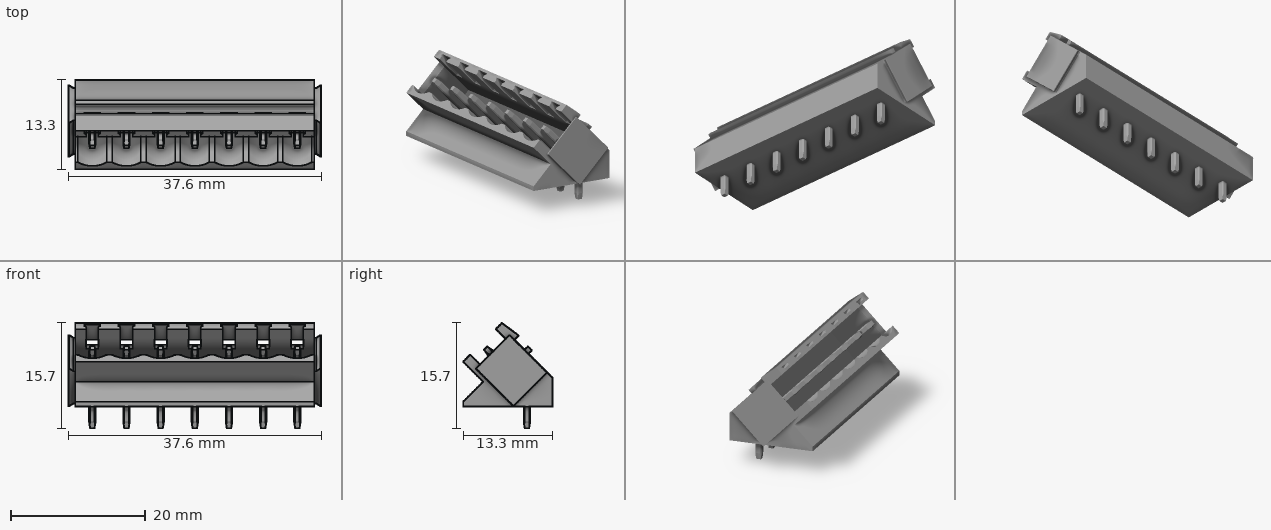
import cadquery as cq
import math

ROOT2 = math.sqrt(2)

pin_count = 7
pitch = 5.08
row_length = pin_count * pitch
pin_places = [(i - (pin_count - 1) / 2) * pitch for i in range(pin_count)]

base_depth = 13.3
front_edge_height = 0.72

shroud_top = 4.72
front_outside = 4.72
front_inside = 6.21
back_inside = 11.58
back_outside = 12.45
cavity_floor = -3.9

hook_top_across = 12.88
hook_tip_across = 13.29
hook_underside = 1.6
hook_tip_height = 0.3

rib_bottom = -1.33
rib_top = -0.48
rib_across = 13.15
rib_root_radius = 0.2

scallop_radius = 3.35
scallop_bottom = 5.44
scallop_center = scallop_bottom + scallop_radius

slot_floor = 0.57
slot_width = 1.82
slot_wide_width = 2.42
slot_neck_across = 12.02
slot_wide_across = 12.34

plate_thickness = 1.0
plate_bottom = -5.24
plate_top = 2.65
plate_front = 5.34
plate_back = 12.4
plate_undercut = 0.53
plate_rim = 0.12
plate_neck = 0.28

pin_width = 1.0
pin_chamfer = 0.18
tip_width = 0.68
tip_length = 0.97
pin_y = 9.49
pin_below_base = 3.22
contact_across = 8.52
contact_top = 3.8


def tilted(rise, across):
    """Y and Z of a point given along the tilted axes."""
    return ((across - rise) / ROOT2, (across + rise) / ROOT2)


def mating_plane(rise):
    """Plane square to the rise axis: local x is X, local y is across."""
    y, z = tilted(rise, 0)
    return cq.Workplane(cq.Plane(origin=(0, y, z), xDir=(1, 0, 0), normal=(0, -1, 1)))


def shroud_and_base():
    back_edge_height = back_outside * ROOT2 - base_depth
    step_rise = front_edge_height / ROOT2
    outline = [
        (0, 0),
        (base_depth, 0),
        (base_depth, back_edge_height),
        tilted(hook_underside, back_outside),
        tilted(hook_underside, hook_tip_across),
        tilted(hook_underside + hook_tip_height, hook_tip_across),
        tilted(shroud_top, hook_top_across),
        tilted(shroud_top, back_inside),
        tilted(cavity_floor, back_inside),
        tilted(cavity_floor, front_inside),
        tilted(shroud_top, front_inside),
        tilted(shroud_top, front_outside),
        tilted(step_rise, front_outside),
        (0, front_edge_height),
    ]
    return cq.Workplane("YZ").polyline(outline).close().extrude(row_length / 2, both=True)


def back_rib():
    arc_drop = rib_root_radius * (1 - 1 / ROOT2)
    return (
        cq.Workplane("YZ")
        .moveTo(*tilted(rib_bottom, back_outside))
        .lineTo(*tilted(rib_bottom, rib_across))
        .lineTo(*tilted(rib_top, rib_across))
        .lineTo(*tilted(rib_top, back_outside + rib_root_radius))
        .threePointArc(
            tilted(rib_top + arc_drop, back_outside + arc_drop),
            tilted(rib_top + rib_root_radius, back_outside),
        )
        .close()
        .extrude(row_length / 2, both=True)
    )


def scallop(x):
    return (
        mating_plane(cavity_floor)
        .center(x, scallop_center)
        .circle(scallop_radius)
        .extrude(shroud_top - cavity_floor)
        .intersect(
            mating_plane(cavity_floor)
            .center(x, (front_outside + front_inside) / 2)
            .rect(pitch, front_inside - front_outside)
            .extrude(shroud_top - cavity_floor)
        )
    )


def coding_slot(x):
    narrow = slot_width / 2
    wide = slot_wide_width / 2
    outline = [
        (x - narrow, back_inside),
        (x - narrow, slot_neck_across),
        (x - wide, slot_wide_across),
        (x - wide, back_outside),
        (x + wide, back_outside),
        (x + wide, slot_wide_across),
        (x + narrow, slot_neck_across),
        (x + narrow, back_inside),
    ]
    return mating_plane(slot_floor).polyline(outline).close().extrude(shroud_top - slot_floor)


def end_plate(side):
    """Dovetail rail on the end at side -1 or +1, running in the across direction."""
    inner = side * row_length / 2
    neck = inner + side * plate_neck
    outer = inner + side * plate_thickness
    rim = outer - side * plate_rim
    outline = [
        (inner, plate_bottom + plate_undercut),
        (neck, plate_bottom + plate_undercut),
        (rim, plate_bottom),
        (outer, plate_bottom),
        (outer, plate_top),
        (rim, plate_top),
        (neck, plate_top - plate_undercut),
        (inner, plate_top - plate_undercut),
    ]
    y, z = tilted(0, plate_back)
    back_plane = cq.Plane(origin=(0, y, z), xDir=(1, 0, 0), normal=(0, -1, -1))
    return cq.Workplane(back_plane).polyline(outline).close().extrude(plate_back - plate_front)


def pin_leg(length):
    """Chamfered square bar from Z = 0 up to a tapered tip."""
    shank = cq.Workplane("XY").rect(pin_width, pin_width).extrude(length)
    shank = shank.edges("|Z").chamfer(pin_chamfer)
    taper = (
        cq.Workplane("XY")
        .workplane(offset=length - tip_length)
        .rect(pin_width, pin_width)
        .workplane(offset=tip_length)
        .rect(tip_width, tip_width)
        .loft()
    )
    envelope = cq.Workplane("XY").rect(pin_width, pin_width).extrude(length - tip_length).union(taper)
    return shank.intersect(envelope)


def pin(x):
    bend_z = contact_across * ROOT2 - pin_y
    bend_rise = (bend_z - pin_y) / ROOT2
    bend = (x, pin_y, bend_z)
    solder_leg = pin_leg(bend_z + pin_below_base).rotate((0, 0, 0), (1, 0, 0), 180)
    contact_leg = pin_leg(contact_top - bend_rise).rotate((0, 0, 0), (1, 0, 0), 45)
    return solder_leg.union(contact_leg).translate(bend)


def housing(pins):
    body = shroud_and_base().union(back_rib())
    for side in (-1, 1):
        body = body.union(end_plate(side))
    for x in pin_places:
        body = body.cut(scallop(x)).cut(coding_slot(x))
    for one_pin in pins:
        body = body.cut(one_pin)
    return body


pins = [pin(x) for x in pin_places]
header = housing(pins)
result = cq.Compound.makeCompound([header.val(), *[one_pin.val() for one_pin in pins]])